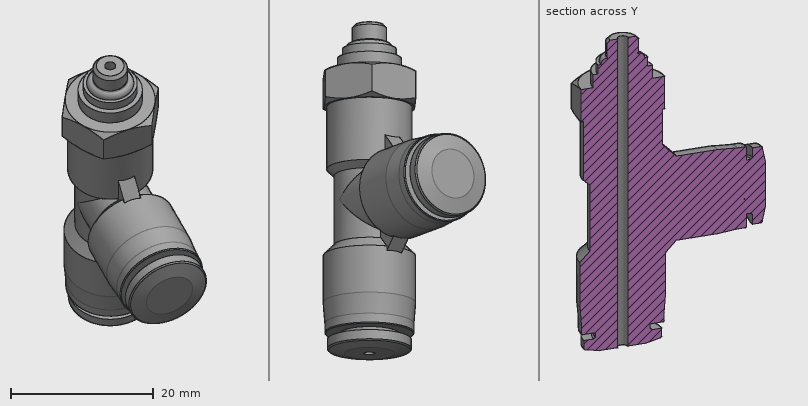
import cadquery as cq
import math

port_reach = 21.5
overall_height = 47.4
top_z = overall_height - port_reach
neck_r = 5.0
bore_d = 1.5

socket_r = 13.0 / 2
socket_end_r = 12.5 / 2
sleeve_r = 8.35 / 2
collar_r = 11.8 / 2
flare_start = 5.95
flare_end = flare_start + socket_r - neck_r
taper_start = 14.25
taper_end = 17.25
socket_end = 18.68
collar_start = 19.55
collar_edge = 20.85
collar_chamfer = 0.2
collar_face_r = 3.5
socket_chamfer = 0.15
sleeve_flare = 0.25

body_r = 12.0 / 2
body_neck_z = 4.1
body_z = 5.02
hex_bottom_z = 14.0
hex_top_z = 19.0
hex_corner_d = 14.65
hex_chamfer_r = 6.3
hex_chamfer_angle = math.radians(30)
collar_step_r = 9 / 2
collar_step_z = 21.0
seat_r = 7.6 / 2
seat_z = 22.35
ring_r = 3.3
ring_z = 23.2
ring_round = ring_z - seat_z
tip_r = 4.85 / 2
tip_chamfer = 0.47
relief = 0.15

rib_width = 2.45
rib_leg = 14.55


def push_in_port():
    """Port pointing along +Z, revolved about its own axis from the axis crossing."""
    rim_r = collar_r - collar_chamfer
    rim_z = collar_edge + collar_chamfer
    return (
        cq.Workplane("XZ")
        .lineTo(neck_r, 0)
        .lineTo(neck_r, flare_start)
        .lineTo(socket_r, flare_end)
        .lineTo(socket_r, taper_start)
        .lineTo(socket_end_r, taper_end)
        .lineTo(socket_end_r, socket_end - socket_chamfer)
        .lineTo(socket_end_r - socket_chamfer, socket_end)
        .lineTo(sleeve_r, socket_end)
        .lineTo(sleeve_r, collar_start - sleeve_flare)
        .lineTo(sleeve_r + sleeve_flare, collar_start)
        .lineTo(collar_r, collar_start)
        .lineTo(collar_r, collar_edge)
        .lineTo(rim_r, rim_z)
        .lineTo(collar_face_r, port_reach)
        .lineTo(0, port_reach)
        .close()
        .revolve(360, (0, 0, 0), (0, 1, 0))
    )


def stud():
    """Turned upper body with its stepped seat, sealing ring and tip."""
    round_mid = ring_round * math.sqrt(0.5)
    ring_arc_mid = (ring_r - ring_round + round_mid, ring_z - ring_round + round_mid)
    return (
        cq.Workplane("XZ")
        .lineTo(neck_r, 0)
        .lineTo(neck_r, body_neck_z)
        .lineTo(body_r, body_z)
        .lineTo(body_r, hex_top_z)
        .lineTo(collar_step_r, hex_top_z)
        .lineTo(collar_step_r, collar_step_z)
        .lineTo(seat_r, collar_step_z)
        .lineTo(seat_r, seat_z)
        .lineTo(ring_r, seat_z)
        .threePointArc(ring_arc_mid, (ring_r - ring_round, ring_z))
        .lineTo(tip_r - relief, ring_z)
        .lineTo(tip_r, ring_z + relief)
        .lineTo(tip_r, top_z - tip_chamfer)
        .lineTo(tip_r - tip_chamfer, top_z)
        .lineTo(0, top_z)
        .close()
        .revolve(360, (0, 0, 0), (0, 1, 0))
    )


def hexagon():
    """Hexagon with corners on the Y axis, chamfered by a cone at both ends."""
    corner_r = hex_corner_d / 2
    drop = (corner_r - hex_chamfer_r) * math.tan(hex_chamfer_angle)
    prism = (
        cq.Workplane("XY", origin=(0, 0, hex_bottom_z))
        .transformed(rotate=(0, 0, 90))
        .polygon(6, hex_corner_d)
        .extrude(hex_top_z - hex_bottom_z)
    )
    envelope = (
        cq.Workplane("XZ")
        .moveTo(0, hex_bottom_z)
        .lineTo(hex_chamfer_r, hex_bottom_z)
        .lineTo(corner_r, hex_bottom_z + drop)
        .lineTo(corner_r, hex_top_z - drop)
        .lineTo(hex_chamfer_r, hex_top_z)
        .lineTo(0, hex_top_z)
        .close()
        .revolve(360, (0, 0, 0), (0, 1, 0))
    )
    return prism.intersect(envelope)


def ribs():
    """One triangular plate forms the ribs above and below the branch."""
    return (
        cq.Workplane("XZ")
        .polyline([(0, -rib_leg), (rib_leg, 0), (0, rib_leg)])
        .close()
        .extrude(rib_width / 2, both=True)
    )


lower_port = push_in_port().rotate((0, 0, 0), (1, 0, 0), 180)
branch_port = push_in_port().rotate((0, 0, 0), (0, 1, 0), 90)
bore = (
    cq.Workplane("XY", origin=(0, 0, -port_reach))
    .circle(bore_d / 2)
    .extrude(overall_height)
)

result = stud().union(lower_port).union(branch_port).union(hexagon()).union(ribs()).cut(bore)